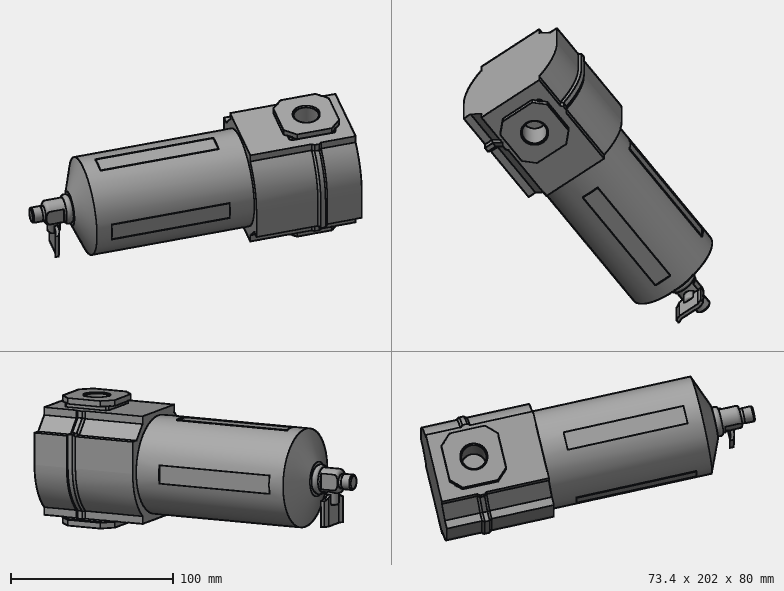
import cadquery as cq
import math


overall_length = 202.0

head_back = 25.2
head_length = 67.6
head_half_height = 33.7
head_half_width = 35.5
neck_half_width = 22.0
neck_edge_z = 28.9
shelf_x = 30.3
shelf_z = 20.0
head_front = head_back - head_length

rib_height = 1.2
rib_base_width = 6.0
rib_crest_width = 3.0
rib_corner_shift = 0.4

flange_size = 35.7
flange_corner = 6.7
flange_thickness = 3.6
flange_top = 40.0
flange_neck_size = 29.9
flange_neck_corner = 1.5
port_radius = 7.7
port_chamfer = 0.8
port_depth = 20.2

bowl_radius = 30.7
bowl_wall_end = -143.3
bowl_end = -151.8
cone_end_radius = 10.7
window_width = 11.5
window_start = -58.0
window_end = -133.7
window_floor = 29.7

collar_radius = 9.3
collar_round = 2.5
collar_crest_y = -153.6
collar_end = -155.9
cock_radius = 7.7
cock_flat = 5.9
flat_start = -157.3
cock_end = -168.4
cock_round = 2.5
spout_neck_radius = 4.6
spout_radius = 4.8
spout_start = -170.2
spout_end = head_back - overall_length
spout_chamfer = 0.8

stub_radius = 4.0
stub_y = -162.1
stub_bottom = -15.0
stub_round = 1.6

lever_y = -161.7
lever_thickness = 2.5
lever_half_width = 10.3
lever_bend_x = 7.0
lever_wing_shift = 1.31
lever_bottom = -27.7
lever_shoulder_z = -11.5
lever_peak_half_width = 3.0
lever_peak_z = -7.9


def head_outline(y, height):
    """Head cross-section at y, its sides raised by height; it repeats after half a turn."""
    neck_x = neck_half_width + height
    side_x = head_half_width + height
    shift = rib_corner_shift * height
    section = cq.Workplane("XZ", origin=(0, y, 0)).moveTo(neck_x, head_half_height)
    for side in (1, -1):
        section = (
            section.lineTo(-side * neck_x, side * head_half_height)
            .lineTo(-side * neck_x, side * (neck_edge_z + shift))
            .lineTo(-side * (shelf_x + shift), side * (shelf_z + height))
            .lineTo(-side * side_x, side * (shelf_z + height))
            .lineTo(-side * side_x, 0)
            .tangentArcPoint((-side * neck_x, -side * neck_edge_z), relative=False)
            .lineTo(-side * neck_x, -side * head_half_height)
        )
    return section.close()


def make_rib():
    """Band round the head sides with slanted flanks, centred on the port axis."""

    def flank(direction):
        base = head_outline(direction * rib_base_width / 2, 0).val()
        crest = head_outline(direction * rib_crest_width / 2, rib_height).val()
        return cq.Solid.makeLoft([base, crest], True)

    crest_band = head_outline(rib_crest_width / 2, rib_height).extrude(rib_crest_width)
    return crest_band.union(cq.Workplane(flank(1))).union(cq.Workplane(flank(-1)))


def square_plate(size, corner, bottom, top):
    """Square plate with cut corners between two heights on the port axis."""
    return (
        cq.Workplane("XY", origin=(0, 0, bottom))
        .rect(size, size)
        .extrude(top - bottom)
        .edges("|Z")
        .chamfer(corner)
    )


def make_port_flange():
    """Cut-cornered plate standing off the head on a smaller neck."""
    flange_bottom = flange_top - flange_thickness
    plate = square_plate(flange_size, flange_corner, flange_bottom, flange_top)
    neck = square_plate(flange_neck_size, flange_neck_corner, head_half_height, flange_bottom)
    return plate.union(neck)


def make_port_bore():
    """Blind bore with a chamfered mouth."""
    floor_z = flange_top - port_depth
    profile = (
        cq.Workplane("XZ")
        .moveTo(0, floor_z)
        .lineTo(port_radius, floor_z)
        .lineTo(port_radius, flange_top - port_chamfer)
        .lineTo(port_radius + port_chamfer, flange_top)
        .lineTo(0, flange_top)
        .close()
    )
    return profile.revolve(360, (0, 0, 0), (0, 1, 0))


def make_head():
    head = head_outline(head_back, 0).extrude(head_length).union(make_rib())
    for turn in (0, 180):
        head = head.union(make_port_flange().rotate((0, 0, 0), (0, 1, 0), turn))
        head = head.cut(make_port_bore().rotate((0, 0, 0), (0, 1, 0), turn))
    return head


def make_bowl():
    """Cylinder with a conical end and four shallow flat windows."""
    bowl = (
        cq.Workplane("XY")
        .moveTo(0, head_front)
        .lineTo(bowl_radius, head_front)
        .lineTo(bowl_radius, bowl_wall_end)
        .lineTo(cone_end_radius, bowl_end)
        .lineTo(0, bowl_end)
        .close()
        .revolve(360, (0, 0, 0), (0, 1, 0))
    )
    window = cq.Workplane("XY", origin=(0, (window_start + window_end) / 2, window_floor)).box(
        window_width, window_start - window_end, bowl_radius, centered=(True, True, False)
    )
    for turn in (0, 90, 180, 270):
        bowl = bowl.cut(window.rotate((0, 0, 0), (0, 1, 0), turn))
    return bowl


def collar_radius_at(y):
    """Radius of the rounded collar rim at y; the rim is widest at its crest."""
    offset = y - collar_crest_y
    return collar_radius - collar_round + math.sqrt(collar_round**2 - offset**2)


def make_collar():
    """Ring with a rounded rim, made of two arcs that meet smoothly at the crest."""
    profile = (
        cq.Workplane("XY")
        .moveTo(0, bowl_end)
        .lineTo(collar_radius_at(bowl_end), bowl_end)
        .radiusArc((collar_radius, collar_crest_y), collar_round)
        .radiusArc((collar_radius_at(collar_end), collar_end), collar_round)
        .lineTo(0, collar_end)
        .close()
    )
    return profile.revolve(360, (0, 0, 0), (0, 1, 0))


def make_barrel():
    """Round barrel with a rounded end and two side flats that start a little way along."""
    barrel = (
        cq.Workplane("XZ", origin=(0, collar_end, 0))
        .circle(cock_radius)
        .extrude(collar_end - cock_end)
        .faces("<Y")
        .edges()
        .fillet(cock_round)
    )
    for side in (1, -1):
        cut_x = side * (cock_flat + cock_radius)
        cutter = cq.Workplane("XZ", origin=(cut_x, flat_start, 0)).rect(2 * cock_radius, 2 * cock_radius)
        barrel = barrel.cut(cutter.extrude(flat_start - cock_end))
    return barrel


def make_spout():
    """Slightly narrower neck and a spout with a chamfered tip."""
    neck = cq.Workplane("XZ", origin=(0, cock_end, 0)).circle(spout_neck_radius)
    spout = (
        cq.Workplane("XZ", origin=(0, spout_start, 0))
        .circle(spout_radius)
        .extrude(spout_start - spout_end)
        .faces("<Y")
        .chamfer(spout_chamfer)
    )
    return neck.extrude(cock_end - spout_start).union(spout)


def make_stub():
    """Short pin hanging from the barrel axis, with a rounded foot."""
    return (
        cq.Workplane("XY", origin=(0, stub_y, stub_bottom))
        .circle(stub_radius)
        .extrude(-stub_bottom)
        .faces("<Z")
        .edges()
        .fillet(stub_round)
    )


def make_lever():
    """Thumb plate with sloping shoulders; its wings bend in opposite directions."""
    half = lever_thickness / 2
    bent_strip = (
        cq.Workplane("XY", origin=(0, lever_y, lever_bottom))
        .moveTo(-lever_half_width, half + lever_wing_shift)
        .lineTo(-lever_bend_x, half)
        .lineTo(lever_bend_x, half)
        .lineTo(lever_half_width, half - lever_wing_shift)
        .lineTo(lever_half_width, -half - lever_wing_shift)
        .lineTo(lever_bend_x, -half)
        .lineTo(-lever_bend_x, -half)
        .lineTo(-lever_half_width, -half + lever_wing_shift)
        .close()
        .extrude(lever_peak_z - lever_bottom)
    )
    reach = half + lever_wing_shift
    shape = (
        cq.Workplane("XZ", origin=(0, lever_y + reach, 0))
        .moveTo(-lever_half_width, lever_bottom)
        .lineTo(-lever_half_width, lever_shoulder_z)
        .lineTo(-lever_peak_half_width, lever_peak_z)
        .lineTo(lever_peak_half_width, lever_peak_z)
        .lineTo(lever_half_width, lever_shoulder_z)
        .lineTo(lever_half_width, lever_bottom)
        .close()
        .extrude(2 * reach)
    )
    return bent_strip.intersect(shape)


def make_drain_cock():
    barrel = make_collar().union(make_barrel()).union(make_spout())
    return barrel.union(make_stub()).union(make_lever())


head = make_head()
bowl = make_bowl()
drain_cock = make_drain_cock()

result = cq.Compound.makeCompound(
    [*head.solids().vals(), *bowl.solids().vals(), *drain_cock.solids().vals()]
)